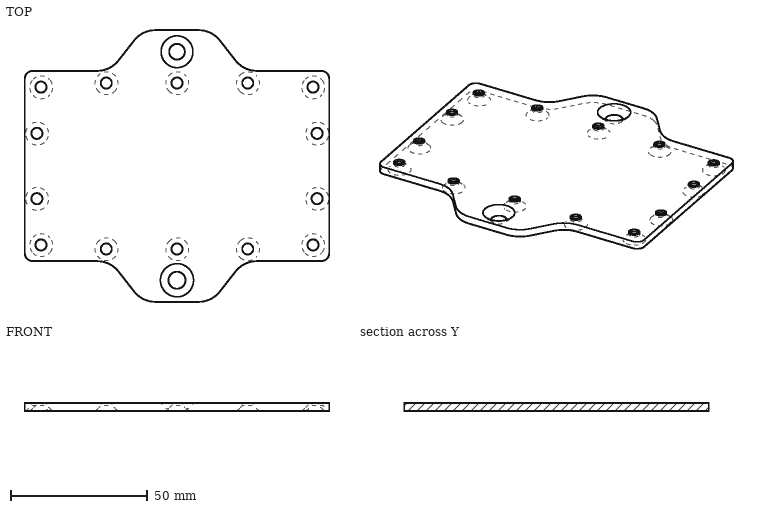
import cadquery as cq
import math

THICKNESS = 3.0
BODY_LENGTH = 112.0
BODY_WIDTH = 70.0
BODY_CORNER_RADIUS = 3.0

OVERALL_WIDTH = 100.0
EAR_ROOT_HALF = 24.5
EAR_TIP_HALF = 12.8
EAR_BLEND_RADIUS = 10.0

SINK_ANGLE = 90.0
SINK_SLOPE = math.tan(math.radians(SINK_ANGLE / 2))

SMALL_HOLE_DIAMETER = 4.0
SMALL_SINK_DEPTH = 2.2
CORNER_HOLE = (50.0, 29.0)
END_HOLE = (51.5, 12.0)
SIDE_HOLE = (26.0, 30.5)

EAR_HOLE_OFFSET = 42.0
REAR_HOLE_DIAMETER = 5.7
FRONT_HOLE_DIAMETER = 6.2


def body():
    """Rectangular plate with sharp corners, resting on Z = 0."""
    return cq.Workplane("XY").rect(BODY_LENGTH, BODY_WIDTH).extrude(THICKNESS)


def ears():
    """Eight-cornered slab whose two tapered ends stick out past the long sides."""
    root_y = BODY_WIDTH / 2
    tip_y = OVERALL_WIDTH / 2
    outline = [
        (-EAR_ROOT_HALF, -root_y),
        (-EAR_TIP_HALF, -tip_y),
        (EAR_TIP_HALF, -tip_y),
        (EAR_ROOT_HALF, -root_y),
        (EAR_ROOT_HALF, root_y),
        (EAR_TIP_HALF, tip_y),
        (-EAR_TIP_HALF, tip_y),
        (-EAR_ROOT_HALF, root_y),
    ]
    return cq.Workplane("XY").polyline(outline).close().extrude(THICKNESS)


def rounded_plate():
    """Plate and ears joined, with every vertical corner rounded."""
    split_x = (BODY_LENGTH / 2 + EAR_ROOT_HALF) / 2
    ear_region = cq.selectors.BoxSelector(
        (-split_x, -OVERALL_WIDTH, -THICKNESS),
        (split_x, OVERALL_WIDTH, 2 * THICKNESS),
    )
    vertical = cq.selectors.ParallelDirSelector(cq.Vector(0, 0, 1))
    plate = body().union(ears())
    plate = plate.edges(vertical & ear_region).fillet(EAR_BLEND_RADIUS)
    return plate.edges(vertical - ear_region).fillet(BODY_CORNER_RADIUS)


def small_hole_cutter():
    """Straight hole that flares into a countersink at the bottom face."""
    hole_radius = SMALL_HOLE_DIAMETER / 2
    hole = cq.Solid.makeCylinder(hole_radius, THICKNESS)
    sink_radius = hole_radius + SMALL_SINK_DEPTH * SINK_SLOPE
    sink = cq.Solid.makeCone(sink_radius, hole_radius, SMALL_SINK_DEPTH)
    return hole.fuse(sink)


def small_holes():
    """Cutters for the four-quadrant hole patterns and the two centre holes."""
    points = [(0, SIDE_HOLE[1]), (0, -SIDE_HOLE[1])]
    for x, y in (CORNER_HOLE, END_HOLE, SIDE_HOLE):
        points += [(x, y), (-x, y), (x, -y), (-x, -y)]
    cutter = small_hole_cutter()
    return cq.Workplane("XY").pushPoints(points).eachpoint(lambda place: cutter.moved(place))


def ear_hole(y, hole_diameter):
    """Conical cutter with the given diameter at the bottom face, widest at the top."""
    hole_radius = hole_diameter / 2
    sink_radius = hole_radius + THICKNESS * SINK_SLOPE
    cone = cq.Solid.makeCone(hole_radius, sink_radius, THICKNESS)
    return cone.translate(cq.Vector(0, y, 0))


result = (
    rounded_plate()
    .cut(small_holes())
    .cut(ear_hole(EAR_HOLE_OFFSET, REAR_HOLE_DIAMETER))
    .cut(ear_hole(-EAR_HOLE_OFFSET, FRONT_HOLE_DIAMETER))
)